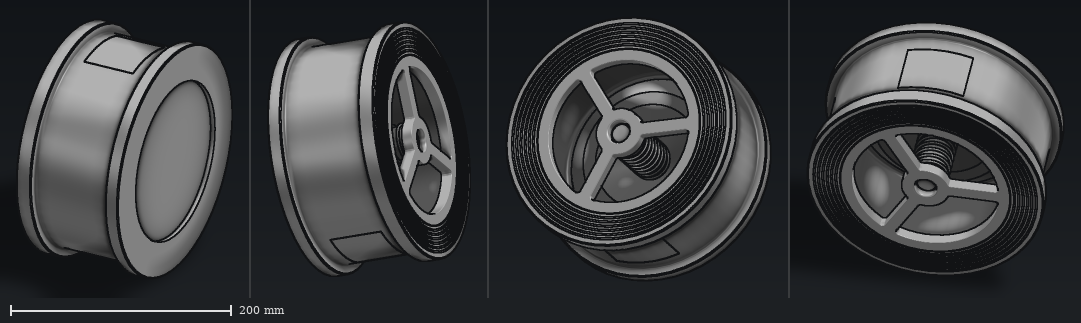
import cadquery as cq

length = 105.0
flange_radius = 109.0
body_radius = 200.0 / 2
inlet_x = length / 2
outlet_x = -length / 2
outlet_flange_width = 15.3
inlet_flange_width = 13.0
flange_chamfer = 1.0
neck_fillet = 2.8

chamber_radius = 170.0 / 2
chamber_end_x = 39.2
chamber_fillet = 4.5
seat_bore_radius = 150.0 / 2

groove_count = 6
first_groove_radius = 82.5
last_groove_radius = 102.5
groove_pitch = (last_groove_radius - first_groove_radius) / (groove_count - 1)
groove_width = 1.7
insert_joint_radius = 78.5
insert_joint_width = 0.9

spider_thickness = 10.5
spider_back_x = outlet_x + spider_thickness
window_radius = 135.0 / 2
window_corner_radius = 3.0
arm_count = 3
arm_width = 12.0
arm_length = 72.0
hub_radius = 22.0
hub_corner_radius = 3.0
spider_edge_fillet = 0.98

hub_hole_radius = 20.0 / 2
stem_tip_radius = 19.5 / 2
stem_tip_recess = 6.5
stem_tip_chamfer = 0.98
hub_hole_mouth = 2.2

disc_face_x = 22.5
disc_back_x = 48.0
disc_face_radius = 61.7
disc_rim_radius = 78.5
disc_rim_x = 37.0
dish_radius = 49.7
dish_depth = 13.0
stem_radius = 16.0

spring_wire_radius = 1.3
spring_overlap = 0.2
spring_pitch = 8.0
spring_radius = stem_radius + spring_wire_radius - spring_overlap

pad_length = 50.1
pad_width = 60.2
pad_height = 0.5
pad_embed = 2.2

selection_margin = 0.2


def x_cylinder(radius, start_x, end_x):
    """Solid cylinder along the X axis."""
    return cq.Workplane("YZ").workplane(offset=start_x).circle(radius).extrude(end_x - start_x)


def edge_zone(start_x, end_x, radius):
    """Selector for edges lying wholly inside a box around the X axis."""
    reach = radius + selection_margin
    return cq.selectors.BoxSelector(
        (start_x - selection_margin, -reach, -reach),
        (end_x + selection_margin, reach, reach),
        boundingbox=True,
    )


def turn(profile):
    """Revolve a closed (x, radius) profile about the X axis."""
    return profile.close().revolve(360, (0, 0, 0), (1, 0, 0))


def make_shell():
    """Flanged body with its chamber and seat bore."""
    outlet_flange = x_cylinder(flange_radius, outlet_x, outlet_x + outlet_flange_width)
    inlet_flange = x_cylinder(flange_radius, inlet_x - inlet_flange_width, inlet_x)
    outlet_flange = outlet_flange.edges().chamfer(flange_chamfer)
    inlet_flange = inlet_flange.edges().chamfer(flange_chamfer)
    neck_start_x = outlet_x + outlet_flange_width
    neck_end_x = inlet_x - inlet_flange_width
    shell = x_cylinder(body_radius, neck_start_x, neck_end_x).union(outlet_flange).union(inlet_flange)
    neck_zone = edge_zone(neck_start_x, neck_end_x, body_radius)
    shell = shell.edges(neck_zone).edges("%CIRCLE").fillet(neck_fillet)
    chamber = x_cylinder(chamber_radius, spider_back_x, chamber_end_x)
    chamber = chamber.faces(">X").edges().fillet(chamber_fillet)
    seat_bore = x_cylinder(seat_bore_radius, spider_back_x, inlet_x)
    return shell.cut(chamber).cut(seat_bore)


def cut_windows(shell):
    """Open the outlet wall between the spider arms."""
    cutter = x_cylinder(window_radius, outlet_x, spider_back_x)
    cutter = cutter.cut(x_cylinder(hub_radius, outlet_x, spider_back_x))
    arm_center_x = outlet_x + spider_thickness / 2
    for index in range(arm_count):
        arm = (
            cq.Workplane("XY")
            .box(spider_thickness, arm_length, arm_width)
            .translate((arm_center_x, -arm_length / 2, 0))
            .rotate((0, 0, 0), (1, 0, 0), index * 360 / arm_count)
        )
        cutter = cutter.cut(arm)
    middle_radius = (hub_radius + window_radius) / 2
    hub_zone = edge_zone(outlet_x, spider_back_x, middle_radius)
    hub_corners = cutter.edges("|X").edges(hub_zone)
    cutter = hub_corners.fillet(hub_corner_radius)
    rim_corners = cutter.edges("|X").edges(cq.selectors.InverseSelector(hub_zone))
    cutter = rim_corners.fillet(window_corner_radius)
    shell = shell.cut(cutter)
    mouth_zone = edge_zone(outlet_x, outlet_x, window_radius)
    return shell.edges(mouth_zone).fillet(spider_edge_fillet)


def ring_groove(radius, width):
    """Half-round ring groove in the outlet face."""
    half = width / 2
    return turn(
        cq.Workplane("XY")
        .moveTo(outlet_x, radius - half)
        .threePointArc((outlet_x + half, radius), (outlet_x, radius + half))
    )


def make_disc():
    """Dished closing disc and the stem that reaches the hub."""
    return turn(
        cq.Workplane("XY")
        .moveTo(spider_back_x, 0)
        .lineTo(spider_back_x, stem_radius)
        .lineTo(disc_face_x + dish_depth, stem_radius)
        .lineTo(disc_face_x, dish_radius)
        .lineTo(disc_face_x, disc_face_radius)
        .lineTo(disc_rim_x, disc_rim_radius)
        .lineTo(chamber_end_x, disc_rim_radius)
        .lineTo(chamber_end_x, seat_bore_radius)
        .lineTo(disc_back_x, seat_bore_radius)
        .lineTo(disc_back_x, 0)
    )


def make_spring():
    """Helical wire between the hub and the dish."""
    start_x = spider_back_x
    spring_length = disc_face_x + dish_depth - start_x
    path = cq.Wire.makeHelix(
        spring_pitch, spring_length, spring_radius, center=cq.Vector(start_x, 0, 0), dir=cq.Vector(1, 0, 0)
    )
    start = path.startPoint()
    section = cq.Workplane(cq.Plane(start, xDir=(1, 0, 0), normal=path.tangentAt(0)))
    return section.circle(spring_wire_radius).sweep(cq.Workplane(path), isFrenet=True)


def make_hub_hole():
    """Hole through the hub with a flared mouth, leaving the stem tip inside."""
    hole = turn(
        cq.Workplane("XY")
        .moveTo(outlet_x, 0)
        .lineTo(outlet_x, hub_hole_radius + hub_hole_mouth)
        .radiusArc((outlet_x + hub_hole_mouth, hub_hole_radius), -hub_hole_mouth)
        .lineTo(spider_back_x, hub_hole_radius)
        .lineTo(spider_back_x, 0)
    )
    tip = x_cylinder(stem_tip_radius, outlet_x + stem_tip_recess, spider_back_x)
    return hole.cut(tip.faces("<X").chamfer(stem_tip_chamfer))


def make_pads():
    """Label pads that follow the round body."""
    pad_radius = body_radius + pad_height
    outline = cq.Workplane("XY").box(pad_length, pad_width, 2 * pad_radius)
    ring = x_cylinder(pad_radius, -pad_length / 2, pad_length / 2)
    ring = ring.cut(x_cylinder(body_radius - pad_embed, -pad_length / 2, pad_length / 2))
    return ring.intersect(outline)


result = cut_windows(make_shell())
for groove_index in range(groove_count):
    result = result.cut(ring_groove(first_groove_radius + groove_index * groove_pitch, groove_width))
result = result.cut(ring_groove(insert_joint_radius, insert_joint_width))
result = result.union(make_disc()).union(make_spring())
result = result.cut(make_hub_hole()).union(make_pads())